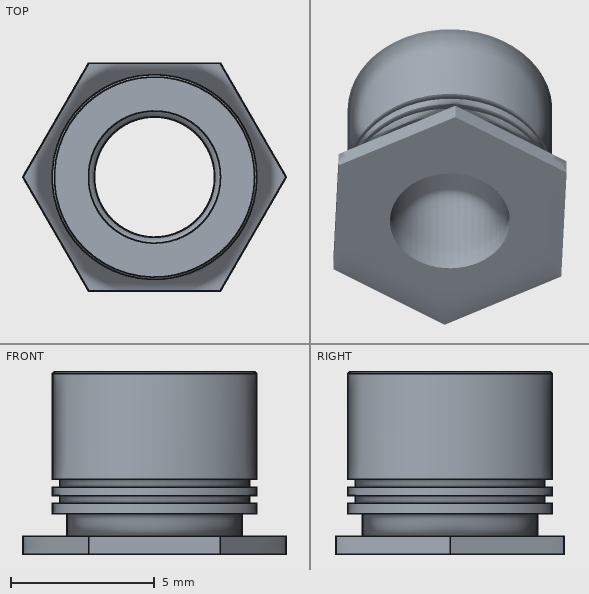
import cadquery as cq
import math

total_height = 6.35
hex_across_flats = 7.92
hex_thickness = 0.64

body_diameter = 7.11
groove_diameter = 6.6
neck_diameter = 6.096
bore_diameter = 4.17

neck_top = 1.41
lower_ring_top = 1.78
lower_groove_top = 2.04
upper_ring_top = 2.34
upper_groove_top = 2.61

rim_chamfer = 0.08
bore_chamfer = 0.21


def cylinder(diameter, bottom, top):
    """Solid cylinder on the Z axis between two heights."""
    return cq.Workplane("XY").workplane(offset=bottom).circle(diameter / 2).extrude(top - bottom)


def make_flange():
    """Hexagonal flange with two corners on the X axis."""
    across_corners = hex_across_flats / math.cos(math.pi / 6)
    return cq.Workplane("XY").polygon(6, across_corners).extrude(hex_thickness)


def make_barrel():
    """Neck, two rings separated by grooves, and the chamfered body."""
    steps = [
        (neck_diameter, neck_top),
        (body_diameter, lower_ring_top),
        (groove_diameter, lower_groove_top),
        (body_diameter, upper_ring_top),
        (groove_diameter, upper_groove_top),
    ]
    body = cylinder(body_diameter, upper_groove_top, total_height)
    barrel = body.faces(">Z").edges().chamfer(rim_chamfer)
    bottom = hex_thickness
    for diameter, top in steps:
        barrel = barrel.union(cylinder(diameter, bottom, top))
        bottom = top
    return barrel


def make_bore():
    """Through bore with a conical lead-in at the top face."""
    bore_radius = bore_diameter / 2
    mouth_radius = bore_radius + bore_chamfer
    half_profile = [
        (0, 0),
        (bore_radius, 0),
        (bore_radius, total_height - bore_chamfer),
        (mouth_radius, total_height),
        (0, total_height),
    ]
    return cq.Workplane("XZ").polyline(half_profile).close().revolve(360, (0, 0, 0), (0, 1, 0))


result = make_flange().union(make_barrel()).cut(make_bore())